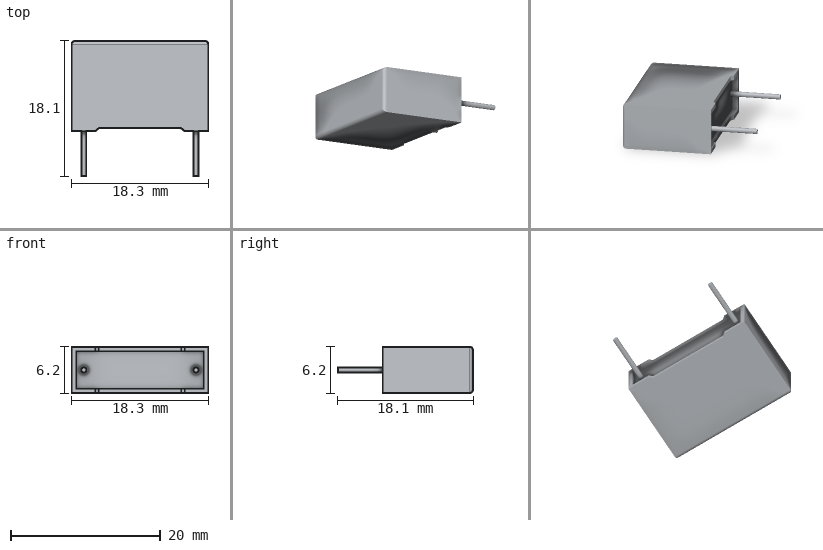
import cadquery as cq

case_width = 18.3
case_depth = 12.1
case_height = 6.2
wall = 0.6
back_edge_radius = 0.5

relief_depth = 0.4
relief_run = 0.5
relief_inset = 3.17

potting_recess = 0.75

lead_diameter = 0.7
lead_spacing = 15.0
lead_projection = 6.0

cavity_width = case_width - 2 * wall
cavity_height = case_height - 2 * wall
cavity_depth = case_depth - wall


def block(width, height, front, back):
    """Box centred on X and Z, running from Y = front to Y = back."""
    return cq.Workplane("XY").box(width, back - front, height).translate((0, (front + back) / 2, 0))


def make_rim_relief():
    """Trapezoidal cutter with sloped ends, passing through the case along Z."""
    mouth_half = case_width / 2 - relief_inset
    floor_half = mouth_half - relief_run
    return (
        cq.Workplane("XY")
        .polyline([
            (-mouth_half, 0),
            (mouth_half, 0),
            (floor_half, relief_depth),
            (-floor_half, relief_depth),
        ])
        .close()
        .extrude(case_height / 2, both=True)
    )


def make_case():
    shell = block(case_width, case_height, 0, case_depth)
    shell = shell.faces(">Y").edges().fillet(back_edge_radius)
    cavity = block(cavity_width, cavity_height, 0, cavity_depth)
    return shell.cut(cavity).cut(make_rim_relief())


def make_potting():
    return block(cavity_width, cavity_height, potting_recess, cavity_depth)


def make_lead(x):
    """Round wire standing on the potting face and pointing toward -Y."""
    return (
        cq.Workplane("XZ", origin=(x, potting_recess, 0))
        .circle(lead_diameter / 2)
        .extrude(potting_recess + lead_projection)
    )


case = make_case()
potting = make_potting()
leads = [make_lead(side * lead_spacing / 2) for side in (-1, 1)]

result = cq.Compound.makeCompound([
    case.val(),
    potting.val(),
    *[lead.val() for lead in leads],
])